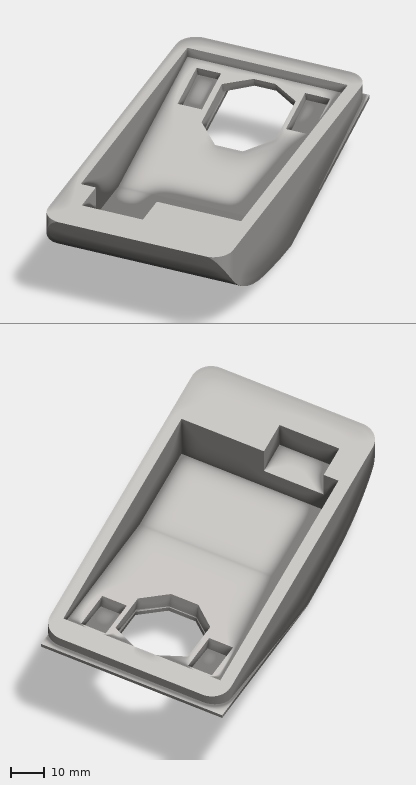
import cadquery as cq
import math

length = 110.7
height = 25.0
plate_width = 60.5
body_width = 60.3
body_center_x = (plate_width - body_width) / 2
corner_radius = 6.4
back_y = length / 2
front_y = -length / 2
keel_y = -4.4
back_edge_height = 3.8
nose_curve_points = [(-19.2, 0.9), (-33.3, 3.7), (-48.9, 14.1)]

plate_thickness = 1.3
plate_end_z = 16.9
plate_slope = plate_end_z / (back_y - keel_y)
plate_angle = math.degrees(math.atan(plate_slope))
body_slope = (height - back_edge_height) / (back_y - keel_y)
plate_rise = plate_thickness / math.cos(math.radians(plate_angle))

cavity_width = 52.4
cavity_back_y = 48.3
cavity_front_y = -33.3
cavity_floor_z = 6.9

notch_left_x = -21.3
notch_right_x = -1.3
notch_front_y = -44.1
notch_depth = 10.2

opening_points = [
    (-3.5, 45.8), (3.5, 45.8), (12.2, 41.3), (12.2, 25.8),
    (4.5, 18.7), (-4.5, 18.7), (-12.0, 25.8), (-12.0, 41.3),
]
opening_middle_y = 33.2
plate_opening_extra = 3.9

slot_ranges_x = [(-21.8, -13.8), (13.6, 21.8)]
slot_front_y = 30.5
slot_back_y = 45.1
cutter_height = 22.1


def side_profile(width, start_y, start_z):
    """Start an outline on the -X face of a prism of the given width centered on X."""
    return cq.Workplane("YZ", origin=(-width / 2, 0, 0)).moveTo(start_y, start_z)


def make_body():
    side = (
        side_profile(body_width, keel_y, 0)
        .spline(nose_curve_points + [(front_y, height)], tangents=[(-1, 0), (-0.45, 1)], includeCurrent=True)
        .lineTo(back_y, height)
        .lineTo(back_y, height - back_edge_height)
        .close()
        .extrude(body_width)
    )
    outline = cq.Workplane("XY").rect(body_width, length).extrude(height).edges("|Z").fillet(corner_radius)
    return side.intersect(outline).translate((body_center_x, 0, 0))


def make_cavity():
    floor_back_z = cavity_floor_z + plate_slope * (cavity_back_y - keel_y)
    return (
        side_profile(cavity_width, cavity_front_y, height)
        .lineTo(cavity_front_y, cavity_floor_z)
        .lineTo(keel_y, cavity_floor_z)
        .lineTo(cavity_back_y, floor_back_z)
        .lineTo(cavity_back_y, height)
        .close()
        .extrude(cavity_width)
    )


def make_notch():
    return cq.Workplane("XY").box(
        notch_right_x - notch_left_x, cavity_front_y - notch_front_y, notch_depth, centered=False
    ).translate((notch_left_x, notch_front_y, height - notch_depth))


def make_plate():
    meeting_distance = plate_rise / (body_slope - plate_slope)
    return (
        side_profile(plate_width, keel_y, 0)
        .lineTo(back_y, plate_end_z)
        .lineTo(back_y, plate_end_z + plate_rise)
        .lineTo(keel_y + meeting_distance, body_slope * meeting_distance)
        .close()
        .extrude(plate_width)
    )


def make_floor_cutter(points):
    """Prism centered on the sloped floor and square to it."""
    floor = cq.Workplane("XY", origin=(0, keel_y, cavity_floor_z)).transformed(rotate=(plate_angle, 0, 0))
    stretch = 1 / math.cos(math.radians(plate_angle))
    on_floor = [(x, (y - keel_y) * stretch) for x, y in points]
    return floor.polyline(on_floor).close().extrude(cutter_height / 2, both=True)


body = make_body().cut(make_cavity()).cut(make_notch())

for left_x, right_x in slot_ranges_x:
    slot_corners = [
        (left_x, slot_front_y), (right_x, slot_front_y), (right_x, slot_back_y), (left_x, slot_back_y),
    ]
    body = body.cut(make_floor_cutter(slot_corners))

body = body.cut(make_floor_cutter(opening_points))

plate_opening_points = [
    (x, y + plate_opening_extra if y > opening_middle_y else y) for x, y in opening_points
]
plate = make_plate().cut(make_floor_cutter(plate_opening_points))

result = body.union(plate)